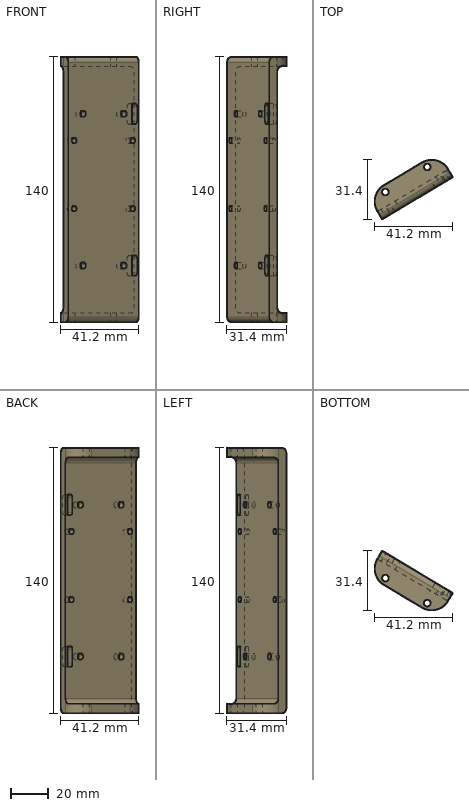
import cadquery as cq

width = 43.4
depth = 15.0
length = 140.0
thickness = 5.0
tilt_angle = 30.87
flange_corner_radius = 10.0
bend_radius = 3.0

flange_hole_diameter = 3.4
flange_hole_spacing = 25.7
flange_hole_edge_distance = 3.5

outer_hole_diameter = 2.9
outer_hole_spacing = 36.0
outer_hole_heights = (-10.0, 25.9)
inner_hole_diameter = 3.3
inner_hole_spacing = 25.0
station_height = 40.0
slot_length = 11.0
slot_width = 3.2
slot_offset = 19.0


def channel():
    """Plate with an inward flange at each end, as a C section swept along X."""
    body = cq.Workplane("XY").box(width, depth, length, centered=(True, False, True))
    body = body.faces("<Y").edges("|X").fillet(bend_radius)
    recess = (
        cq.Workplane("XY")
        .box(width, depth, length - 2 * thickness, centered=(True, False, True))
        .translate((0, thickness, 0))
        .faces("<Y")
        .edges("|X")
        .fillet(bend_radius)
    )
    return body.cut(recess)


def rounded_outline():
    """Envelope that rounds the flange tips, seen along Z."""
    envelope = cq.Workplane("XY").box(width, depth, length, centered=(True, False, True))
    return envelope.faces(">Y").edges("|Z").fillet(flange_corner_radius)


def flange_holes():
    hole_y = depth - flange_hole_edge_distance
    half_spacing = flange_hole_spacing / 2
    return (
        cq.Workplane("XY", origin=(0, 0, -length / 2))
        .pushPoints([(-half_spacing, hole_y), (half_spacing, hole_y)])
        .circle(flange_hole_diameter / 2)
        .extrude(length)
    )


def plate_points(points):
    """Front-face workplane with the given (X, Z) points selected."""
    return cq.Workplane("XZ").pushPoints(points)


def plate_holes(diameter, spacing, heights):
    points = [(side * spacing / 2, height) for side in (-1, 1) for height in heights]
    return plate_points(points).circle(diameter / 2).extrude(-thickness)


def plate_slots(heights):
    points = [(slot_offset, height) for height in heights]
    return plate_points(points).slot2D(slot_length, slot_width, angle=90).extrude(-thickness)


station_heights = (-station_height, station_height)

bracket = channel().intersect(rounded_outline())
bracket = bracket.cut(flange_holes())
bracket = bracket.cut(plate_holes(outer_hole_diameter, outer_hole_spacing, outer_hole_heights))
bracket = bracket.cut(plate_holes(inner_hole_diameter, inner_hole_spacing, station_heights))
bracket = bracket.cut(plate_slots(station_heights))

result = bracket.rotate((0, 0, 0), (0, 0, 1), tilt_angle)